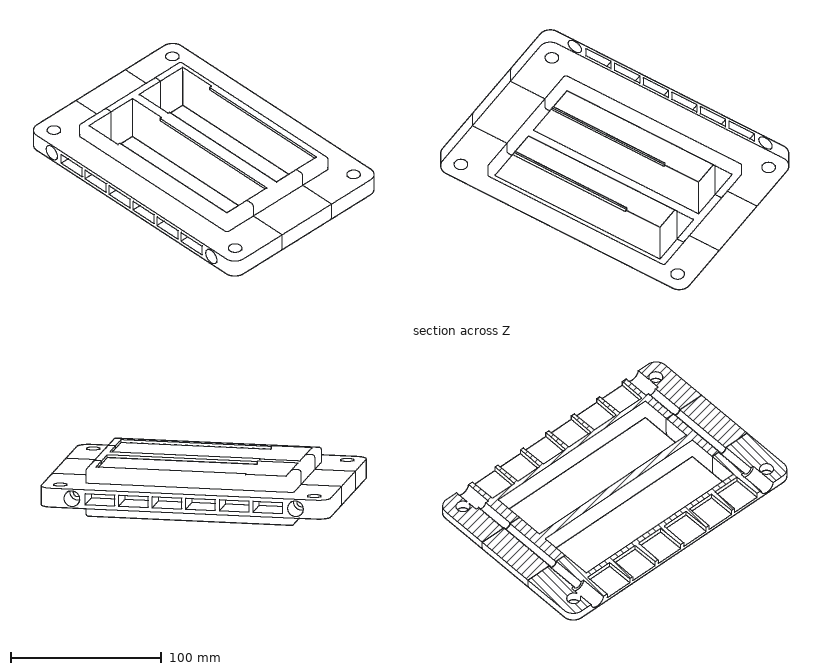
import cadquery as cq

plate_length = 196.0
plate_width = 134.0
plate_height = 13.0
plate_corner_radius = 8.0

frame_length = 141.1
frame_width = 94.9
frame_height = 33.0
frame_edge_radius = 2.0

middle_width = 45.9

opening_length = 129.0
opening_width = 40.4
opening_gap = 6.3
lip_height = 2.0
lip_start_x = -37.0
inner_lip_overhang = 1.4
outer_lip_overhang = 2.0
end_lip_overhang = 2.0
opening_draft = 0.25

mounting_hole_diameter = 9.0
mounting_hole_spacing_x = 172.0
mounting_hole_spacing_y = 110.0

screw_spacing = 151.5
screw_head_diameter = 10.5
screw_head_depth = 19.6
screw_clearance_diameter = 6.0
screw_core_diameter = 5.0

pocket_count = 6
pocket_pitch = 22.7
pocket_length = 20.0
pocket_height = 7.5
pocket_depth = 19.6
pocket_draft = 1.0

outer_width = (plate_width - middle_width) / 2


def box_between(x_range, y_range, z_range):
    """Box spanning the given (low, high) ranges along X, Y and Z."""
    low, high = zip(x_range, y_range, z_range)
    size = [b - a for a, b in zip(low, high)]
    return cq.Workplane("XY").box(*size, centered=False).translate(low)


def screw_cylinder(diameter, y_start, length):
    """Pair of cylinders on the screw axes, running toward +Y from y_start."""
    return (
        cq.Workplane("XZ", origin=(0, y_start, 0))
        .pushPoints([(-screw_spacing / 2, 0), (screw_spacing / 2, 0)])
        .circle(diameter / 2)
        .extrude(-length)
    )


def make_opening():
    """Opening on the +Y side of the rib: a drafted cavity, less the lip over its narrowed stretch."""
    top = frame_height / 2
    inner_y = opening_gap / 2
    outer_y = inner_y + opening_width
    lip_bottom = top - lip_height
    opening_end_x = opening_length / 2
    cavity_length = opening_length + end_lip_overhang
    cavity = (
        cq.Workplane("XY", origin=(end_lip_overhang / 2, (inner_y + outer_y) / 2, top))
        .rect(cavity_length, opening_width)
        .extrude(-frame_height, taper=-opening_draft)
    )
    lip = box_between((lip_start_x, frame_length / 2), (0, frame_width / 2), (lip_bottom, top))
    gap_between_lips = box_between(
        (lip_start_x, opening_end_x),
        (inner_y + inner_lip_overhang, outer_y - outer_lip_overhang),
        (lip_bottom, top),
    )
    return cavity.cut(lip.cut(gap_between_lips))


def make_blank():
    """Plate, frame, openings and mounting holes, before the cuts across Y."""
    plate = cq.Workplane("XY").box(plate_length, plate_width, plate_height)
    plate = plate.edges("|Z").fillet(plate_corner_radius)
    frame = cq.Workplane("XY").box(frame_length, frame_width, frame_height)
    frame = frame.edges().fillet(frame_edge_radius)
    mounting_holes = (
        cq.Workplane("XY", origin=(0, 0, -plate_height / 2))
        .rect(mounting_hole_spacing_x, mounting_hole_spacing_y, forConstruction=True)
        .vertices()
        .circle(mounting_hole_diameter / 2)
        .extrude(plate_height)
    )
    opening = make_opening()
    return plate.union(frame).cut(mounting_holes).cut(opening).cut(opening.mirror("XZ"))


def make_middle(blank):
    """Middle body with the rib between the openings and the screw core holes."""
    half_width = middle_width / 2
    slab = cq.Workplane("XY").box(plate_length, middle_width, frame_height)
    return blank.intersect(slab).cut(screw_cylinder(screw_core_diameter, -half_width, middle_width))


def make_outer(blank):
    """Outer body on the -Y side, with edge pockets and counterbored screw holes."""
    edge_y = -plate_width / 2
    slab = cq.Workplane("XY").box(plate_length, outer_width, frame_height)
    slab = slab.translate((0, edge_y + outer_width / 2, 0))
    pockets = (
        cq.Workplane("XZ", origin=(0, edge_y, 0))
        .rarray(pocket_pitch, 2, pocket_count, 1)
        .rect(pocket_length, pocket_height)
        .extrude(-pocket_depth, taper=pocket_draft)
    )
    return (
        blank.intersect(slab)
        .cut(pockets)
        .cut(screw_cylinder(screw_clearance_diameter, edge_y, outer_width))
        .cut(screw_cylinder(screw_head_diameter, edge_y, screw_head_depth))
    )


blank = make_blank()
middle = make_middle(blank)
front_outer = make_outer(blank)
outers = [front_outer, front_outer.mirror("XZ")]

result = cq.Compound.makeCompound([middle.val()] + [outer.val() for outer in outers])